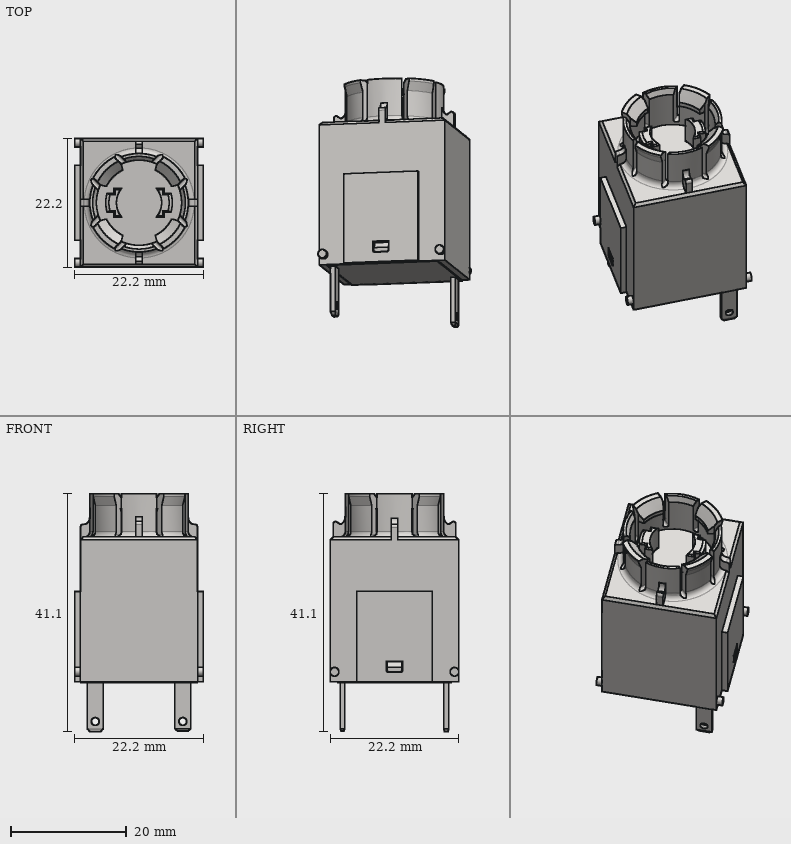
import cadquery as cq
import math

BODY_X = 20.2
BODY_Y = 22.2
BODY_H = 25.0
TOP_CHAMFER = 0.5
LIP_X = 20.1
LIP_Y = 19.5
LIP_H = 0.15

OVERALL_X = 22.2
PAD_Y = 13.0
PAD_H = 15.6
PEG_D = 1.5
PEG_Y = (BODY_Y - PEG_D) / 2
PEG_Z = 1.75

WINDOW_W = 2.8
WINDOW_BOTTOM = 1.65
WINDOW_TOP = 3.6
WINDOW_CORNER_R = 0.4
WINDOW_DEPTH = 1.0
LATCH_GAP = 0.12
LATCH_EDGE_Z = 2.5
LATCH_RECESS = 0.2

COLLAR_H = 7.5
COLLAR_TOP = BODY_H + COLLAR_H
COLLAR_R = 8.5
BORE_R = 14.7 / 2
BORE_FLOOR = BODY_H - 0.6
BASE_FILLET = 1.0
RIM_INNER_R = 8.0
RIM_CHAMFER_H = 0.95

FINGER_ANGLES = (45, 135, 225, 315)
FINGER_R = 9.0
FINGER_RIM_H = 0.45
FINGER_TAPER_BOTTOM = COLLAR_TOP - 2.05
HOOK_R = 6.3
HOOK_SLOPE_H = RIM_INNER_R - HOOK_R
HOOK_LAND_H = 0.9
HOOK_BOTTOM = COLLAR_TOP - HOOK_SLOPE_H - HOOK_LAND_H
HOOK_TIP_HALF_W = 2.0
SLOT_W = 0.9
SLOT_OFFSET = 3.0
SLOT_BOTTOM = BODY_H + 0.05
FINGER_HALF_W = SLOT_OFFSET - SLOT_W / 2

RIB_W = 1.15
RIB_FILLET = 1.0
RIB_CORNER_R = 0.5
RIB_FACE_R = COLLAR_R + 0.05
RIB_ROOT_R = (BORE_R + COLLAR_R) / 2
X_RIB_OUTER = BODY_X / 2
X_RIB_TOP = BODY_H + 2.2
Y_RIB_OUTER = BODY_Y / 2 - TOP_CHAMFER
Y_RIB_CREST_Z = BODY_H + 2.7
Y_RIB_VALLEY = (9.36, BODY_H + 2.2)
Y_RIB_BLEND_MID = (8.8, BODY_H + 2.6)
Y_RIB_BLEND_TOP = BODY_H + 3.45

POST_TOP = 29.8
POST_INNER_R = 3.9
POST_OUTER_R = 5.75
POST_HALF_W = 2.5
POST_SHOULDER_X = 4.35
POST_TAB_HALF_W = 1.65
POST_CHAMFER = 0.25
POST_OUTER_BEVEL = 0.55

PIN_X = 7.55
PIN_W = 2.8
PIN_HOLE_D = 1.3
PIN_HOLE_Z = -6.82
PIN_TIP_SHOULDER = -8.05
PIN_TIP_INSET = 0.5
PIN_TIP_THINNING = 0.15
REAR_PIN = {"x": -PIN_X, "y": 8.92, "thickness": 0.9, "tip": -8.62}
FRONT_PIN = {"x": PIN_X, "y": -8.98, "thickness": 0.8, "tip": -8.5}


def box(x_range, y_range, z_range):
    """Axis-aligned box given by its limits along X, Y and Z."""
    size = [limits[1] - limits[0] for limits in (x_range, y_range, z_range)]
    corner = (x_range[0], y_range[0], z_range[0])
    return cq.Workplane("XY").box(*size, centered=False).translate(corner)


def revolve_z(profile):
    """Revolve an XZ profile (radius, height) around the Z axis."""
    return profile.close().revolve(360, (0, 0, 0), (0, 1, 0))


def around_z(solid, angle):
    return solid.rotate((0, 0, 0), (0, 0, 1), angle)


def make_housing():
    body = cq.Workplane("XY").box(BODY_X, BODY_Y, BODY_H, centered=(True, True, False))
    body = body.faces(">Z").chamfer(TOP_CHAMFER)
    lip = cq.Workplane("XY").rect(LIP_X, LIP_Y).extrude(-LIP_H)
    return body.union(lip)


def make_side_features():
    """Pad with its two pegs on both X faces."""
    outer = OVERALL_X / 2
    pads = box((-outer, outer), (-PAD_Y / 2, PAD_Y / 2), (0, PAD_H))
    pegs = (
        cq.Workplane("YZ", origin=(-outer, 0, 0))
        .pushPoints([(-PEG_Y, PEG_Z), (PEG_Y, PEG_Z)])
        .circle(PEG_D / 2)
        .extrude(OVERALL_X)
    )
    return pads.union(pegs)


def make_window_prism(inset):
    """Window-shaped prism reaching inward from the +X pad face."""
    height = WINDOW_TOP - WINDOW_BOTTOM - 2 * inset
    middle_z = (WINDOW_TOP + WINDOW_BOTTOM) / 2
    return (
        cq.Workplane("YZ", origin=(OVERALL_X / 2 - WINDOW_DEPTH, 0, middle_z))
        .rect(WINDOW_W - 2 * inset, height)
        .extrude(WINDOW_DEPTH)
        .edges("|X and <Z")
        .fillet(WINDOW_CORNER_R - inset)
    )


def make_latch_recess():
    """Space left around and in front of the ramped latch in the +X window."""
    root_x = OVERALL_X / 2 - WINDOW_DEPTH
    face_x = OVERALL_X / 2 - LATCH_RECESS
    ramp = (
        cq.Workplane("XZ")
        .polyline([
            (root_x, WINDOW_BOTTOM),
            (face_x, WINDOW_BOTTOM),
            (face_x, LATCH_EDGE_Z),
            (root_x, WINDOW_TOP - LATCH_GAP),
        ])
        .close()
        .extrude(WINDOW_W / 2, both=True)
    )
    latch = make_window_prism(LATCH_GAP).intersect(ramp)
    return make_window_prism(0).cut(latch)


def make_collar():
    """Collar ring with a filleted foot and a chamfered inner rim."""
    foot_r = COLLAR_R + BASE_FILLET
    mid = BASE_FILLET * (1 - math.sqrt(0.5))
    return revolve_z(
        cq.Workplane("XZ")
        .moveTo(BORE_R, BORE_FLOOR)
        .lineTo(foot_r, BORE_FLOOR)
        .lineTo(foot_r, BODY_H)
        .threePointArc((COLLAR_R + mid, BODY_H + mid), (COLLAR_R, BODY_H + BASE_FILLET))
        .lineTo(COLLAR_R, COLLAR_TOP)
        .lineTo(RIM_INNER_R, COLLAR_TOP)
        .lineTo(BORE_R, COLLAR_TOP - RIM_CHAMFER_H)
    )


def make_finger_head():
    """Flared rim and inward hook of the finger that points along +X."""
    ring = revolve_z(
        cq.Workplane("XZ")
        .moveTo(HOOK_R, HOOK_BOTTOM)
        .lineTo(COLLAR_R, HOOK_BOTTOM)
        .lineTo(COLLAR_R, FINGER_TAPER_BOTTOM)
        .lineTo(FINGER_R, COLLAR_TOP - FINGER_RIM_H)
        .lineTo(FINGER_R, COLLAR_TOP)
        .lineTo(RIM_INNER_R, COLLAR_TOP)
        .lineTo(HOOK_R, COLLAR_TOP - HOOK_SLOPE_H)
    )
    tip_x = math.sqrt(HOOK_R**2 - HOOK_TIP_HALF_W**2)
    root_x = math.sqrt(BORE_R**2 - FINGER_HALF_W**2)
    taper = (FINGER_HALF_W - HOOK_TIP_HALF_W) / (root_x - tip_x)
    start_x = tip_x - HOOK_TIP_HALF_W / taper
    outline = (
        cq.Workplane("XY", origin=(0, 0, HOOK_BOTTOM))
        .polyline([
            (start_x, 0),
            (root_x, FINGER_HALF_W),
            (FINGER_R, FINGER_HALF_W),
            (FINGER_R, -FINGER_HALF_W),
            (root_x, -FINGER_HALF_W),
        ])
        .close()
        .extrude(COLLAR_TOP - HOOK_BOTTOM)
    )
    return ring.intersect(outline)


def make_slot(offset):
    """Round-bottomed slot along +X, shifted sideways by the given offset."""
    radius = SLOT_W / 2
    arc_z = SLOT_BOTTOM + radius
    return (
        cq.Workplane("YZ", origin=(HOOK_R - 1, offset, 0))
        .moveTo(-radius, COLLAR_TOP)
        .lineTo(-radius, arc_z)
        .threePointArc((0, SLOT_BOTTOM), (radius, arc_z))
        .lineTo(radius, COLLAR_TOP)
        .close()
        .extrude(BODY_X / 2 - HOOK_R)
    )


def start_rib(outer_r, top_z):
    """Rib profile from the collar wall out to the end of its rounded top corner."""
    corner_mid = RIB_CORNER_R * (1 - math.sqrt(0.5))
    return (
        cq.Workplane("XZ")
        .moveTo(RIB_ROOT_R, BODY_H - TOP_CHAMFER)
        .lineTo(outer_r, BODY_H - TOP_CHAMFER)
        .lineTo(outer_r, top_z - RIB_CORNER_R)
        .threePointArc((outer_r - corner_mid, top_z - corner_mid), (outer_r - RIB_CORNER_R, top_z))
    )


def make_x_rib():
    """Rib on the +X side, flush with the housing side and level on top."""
    blend_mid = RIB_FILLET * (1 - math.sqrt(0.5))
    blend_top = X_RIB_TOP + RIB_FILLET
    return (
        start_rib(X_RIB_OUTER, X_RIB_TOP)
        .lineTo(RIB_FACE_R + RIB_FILLET, X_RIB_TOP)
        .threePointArc((RIB_FACE_R + blend_mid, X_RIB_TOP + blend_mid), (RIB_FACE_R, blend_top))
        .lineTo(RIB_ROOT_R, blend_top)
        .close()
        .extrude(RIB_W / 2, both=True)
    )


def make_y_rib():
    """Rib for the Y sides with a rounded crest and a valley, drawn along +X."""
    return (
        start_rib(Y_RIB_OUTER, Y_RIB_CREST_Z)
        .lineTo(*Y_RIB_VALLEY)
        .threePointArc(Y_RIB_BLEND_MID, (RIB_FACE_R, Y_RIB_BLEND_TOP))
        .lineTo(RIB_ROOT_R, Y_RIB_BLEND_TOP)
        .close()
        .extrude(RIB_W / 2, both=True)
    )


def make_post():
    """Contact post on the +X side: a T-shaped outline hollowed by a cylinder."""
    height = POST_TOP - BORE_FLOOR
    base = cq.Workplane("XY", origin=(0, 0, BORE_FLOOR))
    outline = (
        base.polyline([
            (0, -POST_HALF_W),
            (POST_SHOULDER_X, -POST_HALF_W),
            (POST_SHOULDER_X, -POST_TAB_HALF_W),
            (POST_OUTER_R, -POST_TAB_HALF_W),
            (POST_OUTER_R, POST_TAB_HALF_W),
            (POST_SHOULDER_X, POST_TAB_HALF_W),
            (POST_SHOULDER_X, POST_HALF_W),
            (0, POST_HALF_W),
        ])
        .close()
        .extrude(height)
        .faces(">Z")
        .chamfer(POST_CHAMFER)
    )
    bevelled_round = revolve_z(
        cq.Workplane("XZ")
        .moveTo(POST_INNER_R, BORE_FLOOR)
        .lineTo(POST_OUTER_R, BORE_FLOOR)
        .lineTo(POST_OUTER_R, POST_TOP - POST_CHAMFER)
        .lineTo(POST_OUTER_R - POST_OUTER_BEVEL, POST_TOP)
        .lineTo(POST_INNER_R, POST_TOP)
    )
    right_half = box((0, POST_OUTER_R), (-POST_OUTER_R, POST_OUTER_R), (BORE_FLOOR, POST_TOP))
    return outline.intersect(bevelled_round).intersect(right_half)


def make_pin(x, y, thickness, tip):
    """Flat terminal with an eyelet and a tapered tip."""
    blade = cq.Workplane("XY").rect(PIN_W, thickness).extrude(PIN_TIP_SHOULDER)
    point = (
        cq.Workplane("XY", origin=(0, 0, PIN_TIP_SHOULDER))
        .rect(PIN_W, thickness)
        .workplane(offset=tip - PIN_TIP_SHOULDER)
        .rect(PIN_W - 2 * PIN_TIP_INSET, thickness - 2 * PIN_TIP_THINNING)
        .loft(ruled=True)
    )
    eyelet = (
        cq.Workplane("XZ")
        .center(0, PIN_HOLE_Z)
        .circle(PIN_HOLE_D / 2)
        .extrude(thickness, both=True)
    )
    return blade.union(point).cut(eyelet).translate((x, y, 0))


def make_slotted_collar():
    """Collar split into eight segments, with snap fingers on the diagonals."""
    collar = make_collar()
    head_space = box((0, FINGER_R), (-SLOT_OFFSET, SLOT_OFFSET), (HOOK_BOTTOM, COLLAR_TOP))
    for angle in FINGER_ANGLES:
        for offset in (-SLOT_OFFSET, SLOT_OFFSET):
            collar = collar.cut(around_z(make_slot(offset), angle))
        collar = collar.cut(around_z(head_space, angle))
    for angle in FINGER_ANGLES:
        collar = collar.union(around_z(make_finger_head(), angle))
    return collar


bore = cq.Workplane("XY", origin=(0, 0, BORE_FLOOR)).circle(BORE_R).extrude(BODY_H - BORE_FLOOR)
result = make_housing().union(make_side_features()).cut(bore).union(make_slotted_collar())

for side_angle in (0, 180):
    result = result.union(around_z(make_x_rib(), side_angle))
    result = result.union(around_z(make_y_rib(), side_angle + 90))
    result = result.union(around_z(make_post(), side_angle))
    result = result.cut(around_z(make_latch_recess(), side_angle))

for pin in (REAR_PIN, FRONT_PIN):
    result = result.union(make_pin(**pin))